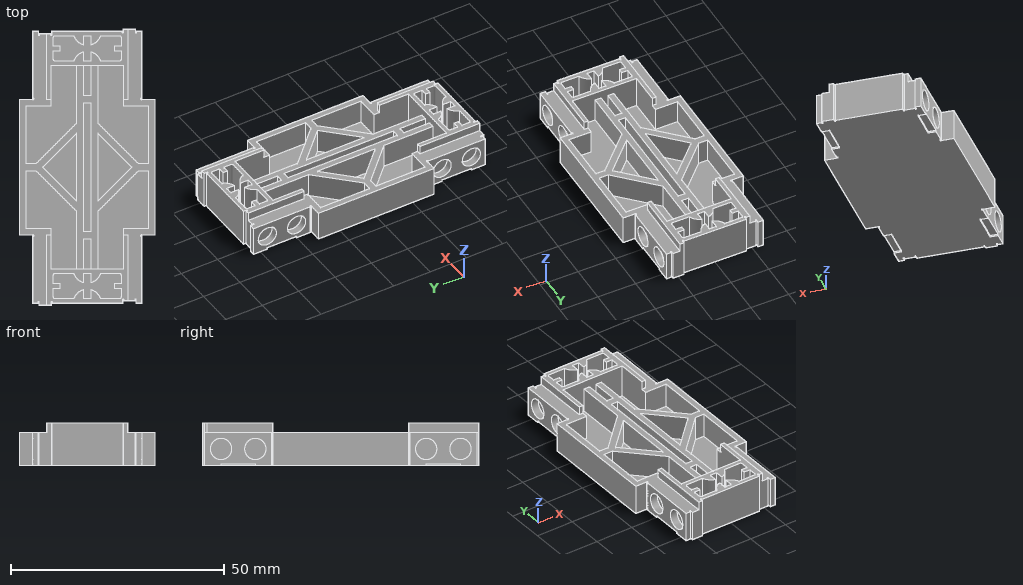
import cadquery as cq
import math

length = 64.8
total_height = 10.0
base_height = 7.8
middle_width = 31.8
middle_half = middle_width / 2
arm_half_width = 12.8
tab_height = 0.5
arm_end = length / 2 - tab_height
floor = 1.5

raised_half_width = 9.5

wall = 1.55
cavity_half = middle_half - wall
neck_half_width = 8.5
neck_end = 23.85

spine_half_width = 2.45
slot_half_width = 0.9
bridge_inner = 15.05
bridge_outer = 16.85
side_rib_width = 1.75
diamond_outer_tip = 12.8
diamond_inner_tip = 10.45

pocket_half_width = 8.0
pocket_length = 5.9
pocket_centre = (neck_end + arm_end) / 2
pocket_corner = 0.4
key_length = 1.6
key_width = 1.15
key_offset = pocket_half_width - key_length / 2
boss_radius = 3.3
boss_offset = arm_end - pocket_centre

tab_inner = 8.4
tab_outer = 11.35
recess_clearance = 0.05
recess_depth = 0.6
relief_width = 0.2
relief_depth = 0.4
corner_relief_offset = 0.1
corner_relief_radius = corner_relief_offset * math.sqrt(2)

magnet_diameter = 5.0
magnet_depth = 1.95
magnet_height = 3.9
magnet_positions = (20.0, 28.05)
groove_depth = 0.4


def box(x0, x1, y0, y1, z0, z1):
    """Axis-aligned block between the given limits."""
    return cq.Workplane("XY").box(x1 - x0, y1 - y0, z1 - z0, centered=False).translate((x0, y0, z0))


def centred_box(half_x, half_y, z0, z1):
    """Block centred on the Z axis."""
    return box(-half_x, half_x, -half_y, half_y, z0, z1)


def half_turn(shape):
    """Copy of the shape turned half way round the Z axis."""
    return shape.rotate((0, 0, 0), (0, 0, 1), 180)


def diamond(tip):
    """Square prism turned 45 degrees, rising from the cavity floor to the base height."""
    points = [(tip, 0), (0, tip), (-tip, 0), (0, -tip)]
    return cq.Workplane("XY").workplane(offset=floor).polyline(points).close().extrude(base_height - floor)


def make_body():
    """Solid middle, arms and raised end blocks."""
    body = centred_box(middle_half, middle_half, 0, base_height)
    body = body.union(centred_box(arm_half_width, arm_end, 0, base_height))
    end_block = box(-raised_half_width, raised_half_width, middle_half, arm_end, 0, total_height)
    return body.union(end_block).union(half_turn(end_block))


def make_ribs():
    """Spine with slots, diamond braces and side ribs inside the main cavity."""
    ribs = diamond(diamond_outer_tip)
    ribs = ribs.union(centred_box(cavity_half, side_rib_width / 2, floor, base_height))
    ribs = ribs.cut(diamond(diamond_inner_tip))
    ribs = ribs.union(centred_box(spine_half_width, neck_end, floor, base_height))
    ribs = ribs.cut(centred_box(slot_half_width, bridge_inner, floor, base_height))
    end_slot = box(-slot_half_width, slot_half_width, bridge_outer, neck_end, floor, base_height)
    return ribs.cut(end_slot).cut(half_turn(end_slot))


def make_cavity():
    """Open-topped main cavity and its end necks, leaving the ribs standing."""
    cavity = centred_box(cavity_half, cavity_half, floor, total_height)
    cavity = cavity.union(centred_box(neck_half_width, neck_end, floor, total_height))
    return cavity.cut(make_ribs())


def make_connector_pocket():
    """Rounded pocket with half-round bosses, end keys and a central slot between the boss halves."""
    depth = total_height - floor
    start = cq.Workplane("XY").workplane(offset=floor).center(0, pocket_centre)
    pocket = start.rect(2 * pocket_half_width, pocket_length).extrude(depth)
    pocket = pocket.edges("|Z").fillet(pocket_corner)
    boss_centres = [(0, -boss_offset), (0, boss_offset)]
    bosses = start.pushPoints(boss_centres).circle(boss_radius).extrude(depth)
    bosses = bosses.cut(start.rect(2 * slot_half_width, pocket_length).extrude(depth))
    key_centres = [(-key_offset, 0), (key_offset, 0)]
    keys = start.pushPoints(key_centres).rect(key_length, key_width).extrude(depth)
    return pocket.cut(bosses).cut(keys)


def make_tab():
    """Full-height interlocking tab on the +Y face."""
    arm_part = box(tab_inner, tab_outer, arm_end - relief_depth, length / 2, 0, base_height)
    raised_part = box(tab_inner, raised_half_width, arm_end - relief_depth, length / 2, 0, total_height)
    return arm_part.union(raised_part)


def make_tab_reliefs():
    """Narrow grooves on both sides of the tab."""
    groove_start = arm_end - relief_depth
    inner = box(tab_inner - relief_width, tab_inner, groove_start, arm_end, 0, total_height)
    outer = box(tab_outer, tab_outer + relief_width, groove_start, arm_end, 0, total_height)
    return inner.union(outer)


def make_recess():
    """Mating recess on the +Y face, with a deeper groove at each inside corner."""
    left = -tab_outer - recess_clearance
    right = -tab_inner + recess_clearance
    back = arm_end - recess_depth
    recess = box(left, right, back, arm_end, 0, total_height)
    for groove_left in (left, right - relief_width):
        groove_right = groove_left + relief_width
        recess = recess.union(box(groove_left, groove_right, back - relief_depth, arm_end, 0, total_height))
    return recess


def make_corner_reliefs():
    """Small round grooves in the arm sides, each touching a corner between arm and middle."""
    x = arm_half_width - corner_relief_offset
    y = middle_half + corner_relief_offset
    corners = [(-x, -y), (x, -y), (x, y), (-x, y)]
    return cq.Workplane("XY").pushPoints(corners).circle(corner_relief_radius).extrude(base_height)


def make_magnet_holes():
    """Blind round holes entering the arms on the -X side."""
    centres = [(side * y, magnet_height) for side in (-1, 1) for y in magnet_positions]
    face = cq.Workplane("YZ").workplane(offset=-arm_half_width)
    return face.pushPoints(centres).circle(magnet_diameter / 2).extrude(magnet_depth)


def make_bottom_grooves():
    """Shallow grooves under the arms, spanning between the magnet hole centres."""
    near, far = magnet_positions
    inner_x = magnet_depth - arm_half_width
    groove = box(-arm_half_width, inner_x, near, far, 0, groove_depth)
    return groove.union(box(-arm_half_width, inner_x, -far, -near, 0, groove_depth))


body = make_body().cut(make_cavity()).cut(make_corner_reliefs())

for feature in (make_connector_pocket(), make_tab_reliefs(), make_recess()):
    body = body.cut(feature).cut(half_turn(feature))
tab = make_tab()
body = body.union(tab).union(half_turn(tab))

for feature in (make_magnet_holes(), make_bottom_grooves()):
    body = body.cut(feature).cut(half_turn(feature))

result = body